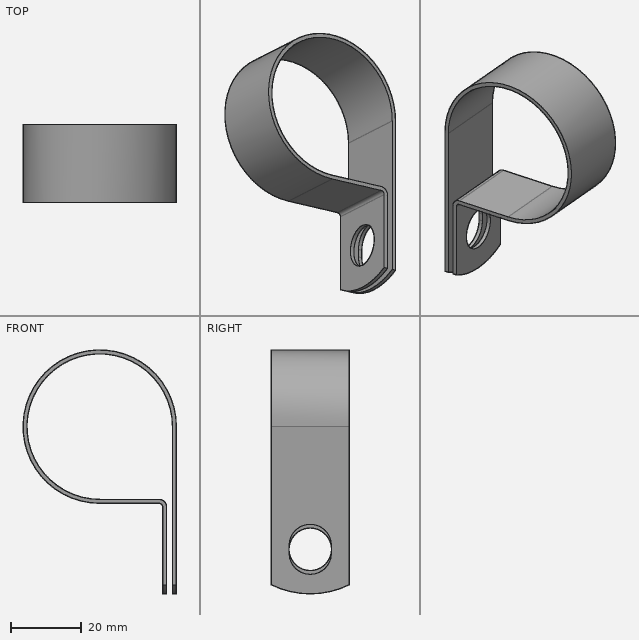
import cadquery as cq
import math

height = 69.5
width = 22.2
thickness = 1.2
outer_diameter = 43.7
leg_gap = 1.6
bend_outer_radius = 2.2
hole_diameter = 12.0
slot_length = 14.25
hole_height = 12.7
tip_radius = 25.0

outer_radius = outer_diameter / 2
inner_radius = outer_radius - thickness
bend_inner_radius = bend_outer_radius - thickness
bottom = outer_radius - height
short_leg_outer = inner_radius - leg_gap
short_leg_inner = short_leg_outer - thickness
bend_x = short_leg_outer - bend_outer_radius
bend_z = -inner_radius - bend_outer_radius
diagonal = math.sqrt(0.5)


def strap():
    """P-shaped strip: long leg, three-quarter loop, flat shelf and short leg."""
    return (
        cq.Workplane("XZ")
        .moveTo(outer_radius, bottom)
        .lineTo(outer_radius, 0)
        .threePointArc((-outer_radius * diagonal, outer_radius * diagonal), (0, -outer_radius))
        .lineTo(bend_x, -outer_radius)
        .threePointArc(
            (bend_x + bend_inner_radius * diagonal, bend_z + bend_inner_radius * diagonal),
            (short_leg_inner, bend_z),
        )
        .lineTo(short_leg_inner, bottom)
        .lineTo(short_leg_outer, bottom)
        .lineTo(short_leg_outer, bend_z)
        .threePointArc(
            (bend_x + bend_outer_radius * diagonal, bend_z + bend_outer_radius * diagonal),
            (bend_x, -inner_radius),
        )
        .lineTo(0, -inner_radius)
        .threePointArc((-inner_radius * diagonal, inner_radius * diagonal), (inner_radius, 0))
        .lineTo(inner_radius, bottom)
        .close()
        .extrude(width / 2, both=True)
    )


def side_envelope():
    """Rectangle with a bowed lower edge, which rounds both leg tips."""
    half_width = width / 2
    tip_rise = tip_radius - math.sqrt(tip_radius**2 - half_width**2)
    return (
        cq.Workplane("YZ")
        .moveTo(-half_width, outer_radius)
        .lineTo(-half_width, bottom + tip_rise)
        .threePointArc((0, bottom), (half_width, bottom + tip_rise))
        .lineTo(half_width, outer_radius)
        .close()
        .extrude(outer_radius, both=True)
    )


def bolt_hole():
    """Round hole along X through both legs."""
    return (
        cq.Workplane("YZ")
        .center(0, bottom + hole_height)
        .circle(hole_diameter / 2)
        .extrude(outer_radius)
    )


def adjustment_slot():
    """Upright slot through the long leg only, concentric with the bolt hole."""
    return (
        cq.Workplane("YZ", origin=(inner_radius, 0, bottom + hole_height))
        .slot2D(slot_length, hole_diameter, 90)
        .extrude(thickness)
    )


result = strap().intersect(side_envelope()).cut(bolt_hole()).cut(adjustment_slot())